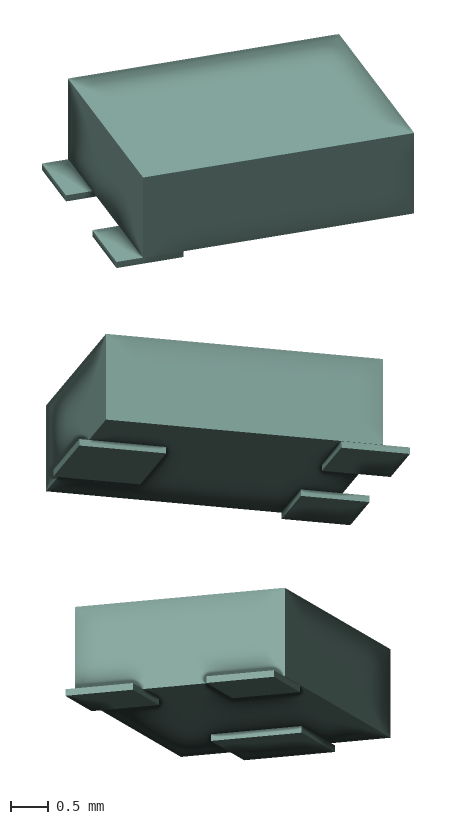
import cadquery as cq

TOTAL_LENGTH = 4.33
TOTAL_HEIGHT = 1.3

LEAD_THICKNESS = 0.09
FRONT_LEAD_WIDTH = 0.965
FRONT_LEAD_LENGTH = 0.95
FRONT_LEAD_GAP = 1.052
FRONT_LEAD_OVERHANG = 0.372
BACK_LEAD_WIDTH = 1.3
BACK_LEAD_LENGTH = 1.2
BACK_LEAD_OVERHANG = 0.135

HOUSING_WIDTH = 3.0
HOUSING_LENGTH = TOTAL_LENGTH - FRONT_LEAD_OVERHANG - BACK_LEAD_OVERHANG
HOUSING_HEIGHT = TOTAL_HEIGHT - LEAD_THICKNESS

FRONT_END = -TOTAL_LENGTH / 2
BACK_END = TOTAL_LENGTH / 2


def make_block(width, length, height, center_x, front_y, bottom_z):
    """Plain block placed by its X centre, its -Y face and its bottom face."""
    return (
        cq.Workplane("XY")
        .box(width, length, height, centered=(True, False, False))
        .translate((center_x, front_y, bottom_z))
    )


def make_housing():
    housing_front = FRONT_END + FRONT_LEAD_OVERHANG
    return make_block(HOUSING_WIDTH, HOUSING_LENGTH, HOUSING_HEIGHT, 0, housing_front, LEAD_THICKNESS)


def make_front_lead(side):
    """Front lead on the -X (side = -1) or +X (side = 1) half."""
    center_x = side * (FRONT_LEAD_GAP + FRONT_LEAD_WIDTH) / 2
    return make_block(FRONT_LEAD_WIDTH, FRONT_LEAD_LENGTH, LEAD_THICKNESS, center_x, FRONT_END, 0)


def make_back_lead():
    lead_front = BACK_END - BACK_LEAD_LENGTH
    return make_block(BACK_LEAD_WIDTH, BACK_LEAD_LENGTH, LEAD_THICKNESS, 0, lead_front, 0)


housing = make_housing()
front_leads = [make_front_lead(side) for side in (-1, 1)]
back_lead = make_back_lead()

result = cq.Compound.makeCompound(
    [housing.val(), *[lead.val() for lead in front_leads], back_lead.val()]
)